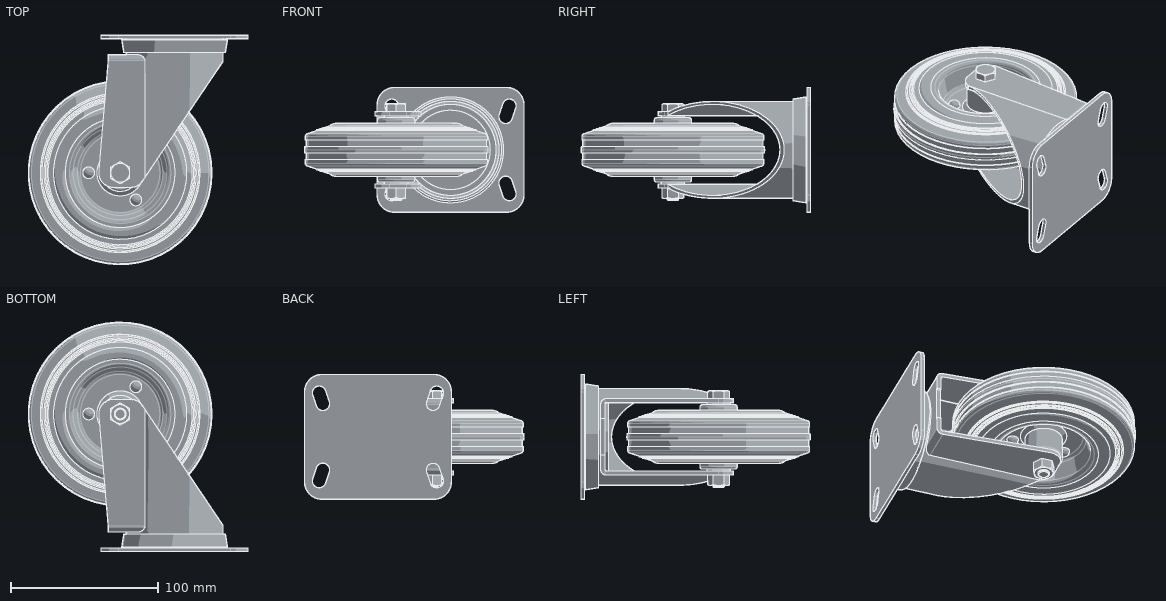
import cadquery as cq
import math

DIAGONAL = math.sqrt(0.5)


TREAD_R = 125.0 / 2
RIB_EDGE_R = 62.2
RIB_HALF = 2.2
GROOVE_R = 61.3
GROOVE_END = 6.7
SHOULDER_R = 62.0
SHOULDER_TOP = 9.2
SHOULDER_ROUND_MID = (61.5, 10.3)
SIDEWALL_START = (60.4, 11.0)
SIDEWALL_END = (54.3, 13.1)
RINGS_START = (54.3, 13.4)
RIM_OUTER = (45.2, 16.4)
RING_OUTER_RADII = (54.1, 51.8, 49.9)
RING_WIDTH = 1.0
RING_HEIGHT = 0.3
RIM_BULGE_TOP = 18.1
RIM_BULGE_INNER_R = 37.3
RIM_LIP_R = 34.5
RIM_LIP_Z = 17.2
RIM_LIP_ROUND = 2.5
DISH_R = 54.0 / 2
DISH_ROUND = 2.0
WEB_HALF = 1.5
HUB_R = 25.5 / 2
HUB_FACE_R = 21.8 / 2
HUB_ROUND = HUB_R - HUB_FACE_R
HUB_HALF = 22.0
HUB_FOOT_R = 15.8
HUB_FOOT_TOP = 4.4
SPACER_R = 16.0 / 2
RIVET_R = 8.0 / 2
RIVET_CIRCLE_R = 21.4
RIVET_ANGLES = (60, 180, 300)

BOLT_R = 8.0 / 2
BOLT_TIP_R = 6.7 / 2
BOLT_TIP_Z = -34.3
HEX_FLATS = 13.0
HEX_CHAMFER_R = 6.4
HEX_CHAMFER_ANGLE = 30
HEAD_HEIGHT = 5.3
NUT_HEIGHT = 7.0

FORK_INNER_HALF = 23.1
FORK_SHEET = 3.0
FORK_OUTER_HALF = FORK_INNER_HALF + FORK_SHEET
FORK_BEND_R = 4.0
CROWN_NOTCH_HALF = 12.5
CROWN_NOTCH_DEPTH = 1.4
CROWN_TOP = 80.2
CROWN_BOTTOM = CROWN_TOP - FORK_SHEET
ARM_FRONT_TOP_X = -8.1
ARM_FRONT_LOW_X = -14.5
ARM_END_R = 10.0
ARM_END_BACK_X = 7.0

SWIVEL_X = 37.0
NECK_R = 66.0 / 2
NECK_BORE_R = 62.0 / 2
NECK_BORE_TOP = 79.0
ARM_BACK_X = SWIVEL_X - math.sqrt(NECK_R**2 - FORK_OUTER_HALF**2)
BOSS_R = 54.0 / 2
BOSS_BOTTOM = 74.9
SKIRT_BOTTOM = 81.6
SKIRT_TOP = 90.3
SKIRT_BOTTOM_R = 34.6
SKIRT_TOP_R = 36.0
NECK_CUT_TOP_Y = 75.7
NECK_CUT_ANGLE = 56

OVERALL_LENGTH = 156
PLATE_TOP = OVERALL_LENGTH - TREAD_R
PLATE_THICKNESS = 2.5
PLATE_BOTTOM = PLATE_TOP - PLATE_THICKNESS
PLATE_LENGTH = 100.0
PLATE_WIDTH = 85.0
PLATE_CORNER_R = 12.0
RACE_R = 35.1
SLOT_WIDTH = 9.0
SLOT_OUTER = (40.0, 30.0)
SLOT_INNER = (37.5, 22.5)


def swivel_disc(radius, bottom, top):
    """Disc on the swivel axis between two heights along Y."""
    plane = cq.Plane(origin=(SWIVEL_X, bottom, 0), xDir=(1, 0, 0), normal=(0, 1, 0))
    return cq.Workplane(plane).circle(radius).extrude(top - bottom)


def side_height(radius):
    """Height of the tyre side between the sidewall and the rim, where the rings stand."""
    slope = (RIM_OUTER[1] - RINGS_START[1]) / (RIM_OUTER[0] - RINGS_START[0])
    return RINGS_START[1] + slope * (radius - RINGS_START[0])


def half_wheel():
    """The wheel above its middle plane, turned from one outline of (radius, height)."""
    bulge_mid_r = (RIM_OUTER[0] + RIM_BULGE_INNER_R) / 2
    wall_top_r = RIM_LIP_R - RIM_LIP_ROUND
    wall_foot_r = DISH_R + DISH_ROUND
    outline = (
        cq.Workplane("XZ")
        .moveTo(BOLT_R, 0)
        .lineTo(TREAD_R, 0)
        .lineTo(RIB_EDGE_R, RIB_HALF)
        .lineTo(GROOVE_R, RIB_HALF)
        .lineTo(GROOVE_R, GROOVE_END)
        .lineTo(SHOULDER_R, GROOVE_END)
        .lineTo(SHOULDER_R, SHOULDER_TOP)
        .threePointArc(SHOULDER_ROUND_MID, SIDEWALL_START)
        .lineTo(*SIDEWALL_END)
        .lineTo(*RINGS_START)
    )
    for ring_r in RING_OUTER_RADII:
        ring_top = side_height(ring_r) + RING_HEIGHT
        ring_inner_r = ring_r - RING_WIDTH
        outline = (
            outline.lineTo(ring_r, side_height(ring_r))
            .lineTo(ring_r, ring_top)
            .lineTo(ring_inner_r, ring_top)
            .lineTo(ring_inner_r, side_height(ring_inner_r))
        )
    outline = (
        outline.lineTo(*RIM_OUTER)
        .threePointArc((bulge_mid_r, RIM_BULGE_TOP), (RIM_BULGE_INNER_R, RIM_LIP_Z))
        .lineTo(RIM_LIP_R, RIM_LIP_Z)
        .threePointArc(
            (RIM_LIP_R - RIM_LIP_ROUND * DIAGONAL, RIM_LIP_Z - RIM_LIP_ROUND * (1 - DIAGONAL)),
            (wall_top_r, RIM_LIP_Z - RIM_LIP_ROUND),
        )
        .lineTo(wall_foot_r, WEB_HALF + DISH_ROUND)
        .threePointArc(
            (DISH_R + DISH_ROUND * DIAGONAL, WEB_HALF + DISH_ROUND * (1 - DIAGONAL)),
            (DISH_R, WEB_HALF),
        )
        .lineTo(HUB_FOOT_R, WEB_HALF)
        .lineTo(HUB_R, HUB_FOOT_TOP)
        .lineTo(HUB_R, HUB_HALF - HUB_ROUND)
        .threePointArc(
            (HUB_R - HUB_ROUND * (1 - DIAGONAL), HUB_HALF - HUB_ROUND * (1 - DIAGONAL)),
            (HUB_FACE_R, HUB_HALF),
        )
        .lineTo(SPACER_R, HUB_HALF)
        .lineTo(SPACER_R, FORK_INNER_HALF)
        .lineTo(BOLT_R, FORK_INNER_HALF)
        .close()
    )
    half = outline.revolve(360, (0, 0), (0, 1))
    for angle in RIVET_ANGLES:
        x = RIVET_CIRCLE_R * math.cos(math.radians(angle))
        y = RIVET_CIRCLE_R * math.sin(math.radians(angle))
        dome = cq.Workplane("XY").sphere(RIVET_R, angle1=0).translate((x, y, WEB_HALF))
        half = half.union(dome)
    return half


def make_wheel():
    """Tyre, rim, hub and end spacers as one body, the same on both sides."""
    upper = half_wheel()
    return upper.union(upper.mirror("XY"))


def chamfered_hex(height):
    """Hexagon with corners along Y, its top corners cut to a cone; it stands on Z = 0."""
    corner_r = HEX_FLATS / math.sqrt(3)
    cone_drop = (corner_r - HEX_CHAMFER_R) * math.tan(math.radians(HEX_CHAMFER_ANGLE))
    prism = cq.Workplane("XY").polygon(6, 2 * corner_r).extrude(height).rotate((0, 0, 0), (0, 0, 1), 90)
    envelope = (
        cq.Workplane("XZ")
        .lineTo(corner_r, 0)
        .lineTo(corner_r, height - cone_drop)
        .lineTo(HEX_CHAMFER_R, height)
        .lineTo(0, height)
        .close()
        .revolve(360, (0, 0), (0, 1))
    )
    return prism.intersect(envelope)


def make_bolt():
    """Axle bolt whose chamfered tip stands out below the nut."""
    head = chamfered_hex(HEAD_HEIGHT).translate((0, 0, FORK_OUTER_HALF))
    shank = (
        cq.Workplane("XY", origin=(0, 0, BOLT_TIP_Z))
        .circle(BOLT_R)
        .extrude(FORK_OUTER_HALF - BOLT_TIP_Z)
        .faces("<Z")
        .chamfer(BOLT_R - BOLT_TIP_R)
    )
    return head.union(shank)


def axle_bore():
    """Cylinder of the bolt's size, long enough to pass through the fork and the nut."""
    return cq.Workplane("XY").circle(BOLT_R).extrude(PLATE_WIDTH, both=True)


def make_nut():
    """Nut under the lower fork arm."""
    nut = chamfered_hex(NUT_HEIGHT).mirror("XY").translate((0, 0, -FORK_OUTER_HALF))
    return nut.cut(axle_bore())


def neck_cut_direction():
    """Unit direction in X and Y of the slope that trims the arms and the neck."""
    angle = math.radians(NECK_CUT_ANGLE)
    return math.cos(angle), math.sin(angle)


def arm_bracket():
    """Bent sheet: a crown across the top and two arms with rounded lower ends."""
    along, up = neck_cut_direction()
    front_x = ARM_FRONT_LOW_X + ARM_END_R
    end_back = (ARM_END_BACK_X + ARM_END_R * up, -ARM_END_R * along)
    back_y = end_back[1] + (ARM_BACK_X - end_back[0]) * up / along
    end_arc_middle = math.radians(90 - NECK_CUT_ANGLE / 2)
    side = (
        cq.Workplane("XY", origin=(0, 0, -FORK_OUTER_HALF))
        .moveTo(ARM_FRONT_TOP_X, CROWN_TOP)
        .lineTo(ARM_FRONT_TOP_X, CROWN_BOTTOM)
        .lineTo(ARM_FRONT_LOW_X, 0)
        .threePointArc((front_x - ARM_END_R * DIAGONAL, -ARM_END_R * DIAGONAL), (front_x, -ARM_END_R))
        .lineTo(ARM_END_BACK_X, -ARM_END_R)
        .threePointArc(
            (ARM_END_BACK_X + ARM_END_R * math.cos(end_arc_middle), -ARM_END_R * math.sin(end_arc_middle)),
            end_back,
        )
        .lineTo(ARM_BACK_X, back_y)
        .lineTo(ARM_BACK_X, CROWN_TOP)
        .close()
        .extrude(2 * FORK_OUTER_HALF)
        .edges("|X and >Y")
        .fillet(FORK_BEND_R)
    )
    room_bottom = -2 * ARM_END_R
    room = (
        cq.Workplane("XY")
        .box(PLATE_LENGTH, CROWN_BOTTOM - room_bottom, 2 * FORK_INNER_HALF)
        .edges("|X and >Y")
        .fillet(FORK_BEND_R - FORK_SHEET)
        .translate((0, (CROWN_BOTTOM + room_bottom) / 2, 0))
    )
    notch = cq.Workplane("XY").box(2 * CROWN_NOTCH_DEPTH, 2 * CROWN_TOP, 2 * CROWN_NOTCH_HALF)
    return side.cut(room).cut(notch.translate((ARM_FRONT_TOP_X, CROWN_TOP, 0)))


def neck_rear():
    """Rear of the round neck, not yet bored, cut off on a slope in line with the arm ends."""
    along, up = neck_cut_direction()
    neck_back_x = SWIVEL_X + NECK_R
    cut_low_y = NECK_CUT_TOP_Y - (neck_back_x - ARM_BACK_X) * up / along
    keep = (
        cq.Workplane("XY")
        .moveTo(ARM_BACK_X, CROWN_TOP)
        .lineTo(ARM_BACK_X, cut_low_y)
        .lineTo(neck_back_x, NECK_CUT_TOP_Y)
        .lineTo(neck_back_x, CROWN_TOP)
        .close()
        .extrude(PLATE_WIDTH, both=True)
    )
    return swivel_disc(NECK_R, -ARM_END_R, CROWN_TOP).intersect(keep)


def neck_bore():
    """Round room inside the neck between the arms, closed at its top."""
    bore = swivel_disc(NECK_BORE_R, -2 * ARM_END_R, NECK_BORE_TOP)
    between_arms = cq.Workplane("XY").box(2 * PLATE_LENGTH, 2 * CROWN_TOP, 2 * FORK_INNER_HALF)
    behind_arms = cq.Workplane("XY").box(PLATE_LENGTH, 2 * CROWN_TOP, PLATE_WIDTH)
    behind_arms = behind_arms.translate((ARM_BACK_X + PLATE_LENGTH / 2, 0, 0))
    return bore.intersect(between_arms.union(behind_arms))


def make_fork():
    """Arms, bored neck and conical skirt, with a round boss under the head."""
    skirt = (
        cq.Workplane("XY")
        .moveTo(0, SKIRT_BOTTOM)
        .lineTo(SKIRT_BOTTOM_R, SKIRT_BOTTOM)
        .lineTo(SKIRT_TOP_R, SKIRT_TOP)
        .lineTo(0, SKIRT_TOP)
        .close()
        .revolve(360, (0, 0), (0, 1))
        .translate((SWIVEL_X, 0, 0))
    )
    head = swivel_disc(NECK_R, CROWN_BOTTOM, SKIRT_BOTTOM)
    boss = swivel_disc(BOSS_R, BOSS_BOTTOM, NECK_BORE_TOP)
    fork = arm_bracket().union(neck_rear()).union(head).union(skirt)
    return fork.cut(neck_bore()).union(boss).cut(axle_bore())


def make_plate():
    """Slotted mounting plate with a thin round race below it."""
    plate = (
        cq.Workplane("XY")
        .box(PLATE_LENGTH, PLATE_THICKNESS, PLATE_WIDTH)
        .edges("|Y")
        .fillet(PLATE_CORNER_R)
        .translate((SWIVEL_X, PLATE_BOTTOM + PLATE_THICKNESS / 2, 0))
    )
    run_x = SLOT_OUTER[0] - SLOT_INNER[0]
    run_z = SLOT_OUTER[1] - SLOT_INNER[1]
    slot_length = math.hypot(run_x, run_z) + SLOT_WIDTH
    slot_lean = math.degrees(math.atan2(run_z, run_x))
    middle_x = (SLOT_OUTER[0] + SLOT_INNER[0]) / 2
    middle_z = (SLOT_OUTER[1] + SLOT_INNER[1]) / 2
    slot_plane = cq.Plane(origin=(SWIVEL_X, PLATE_BOTTOM, 0), xDir=(1, 0, 0), normal=(0, 1, 0))
    for side_x in (-1, 1):
        for side_z in (-1, 1):
            slot = (
                cq.Workplane(slot_plane)
                .center(side_x * middle_x, side_z * middle_z)
                .slot2D(slot_length, SLOT_WIDTH, side_x * side_z * slot_lean)
                .extrude(PLATE_THICKNESS)
            )
            plate = plate.cut(slot)
    race = swivel_disc(RACE_R, SKIRT_TOP, PLATE_BOTTOM)
    return plate.union(race)


plate = make_plate()
fork = make_fork()
wheel = make_wheel()
bolt = make_bolt()
nut = make_nut()

bodies = [plate, fork, wheel, bolt, nut]
result = cq.Compound.makeCompound([body.solids().val() for body in bodies])